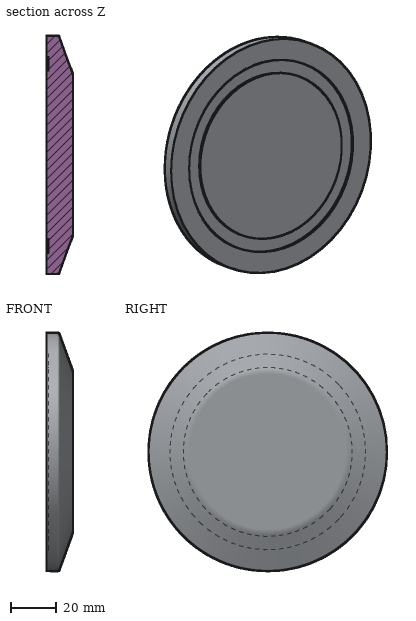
import cadquery as cq
import math

outer_radius = 53.0
thickness = 12.0
cone_angle = 20.0
back_radius = 35.7
rim_fillet = 1.1
back_fillet = 5.3
groove_outer_radius = 43.5
groove_inner_radius = 37.5
groove_depth = 1.0

cone_height = (outer_radius - back_radius) * math.tan(math.radians(cone_angle))
rim_width = thickness - cone_height


def make_body():
    """Cylindrical rim with a conical back, both back edges rounded."""
    body = cq.Workplane("YZ").circle(outer_radius).extrude(rim_width)
    cone = cq.Solid.makeCone(
        outer_radius, back_radius, cone_height, cq.Vector(rim_width, 0, 0), cq.Vector(1, 0, 0)
    )
    body = body.union(cq.Workplane(cone))
    body = body.faces(">X").edges().fillet(back_fillet)
    rim_edge = cq.selectors.BoxSelector(
        (rim_width - rim_fillet / 2, -2 * outer_radius, -2 * outer_radius),
        (rim_width + rim_fillet / 2, 2 * outer_radius, 2 * outer_radius),
    )
    return body.edges("%CIRCLE").edges(rim_edge).fillet(rim_fillet)


def make_groove():
    """Shallow ring removed from the flat face."""
    return (
        cq.Workplane("YZ")
        .circle(groove_outer_radius)
        .circle(groove_inner_radius)
        .extrude(groove_depth)
    )


result = make_body().cut(make_groove())